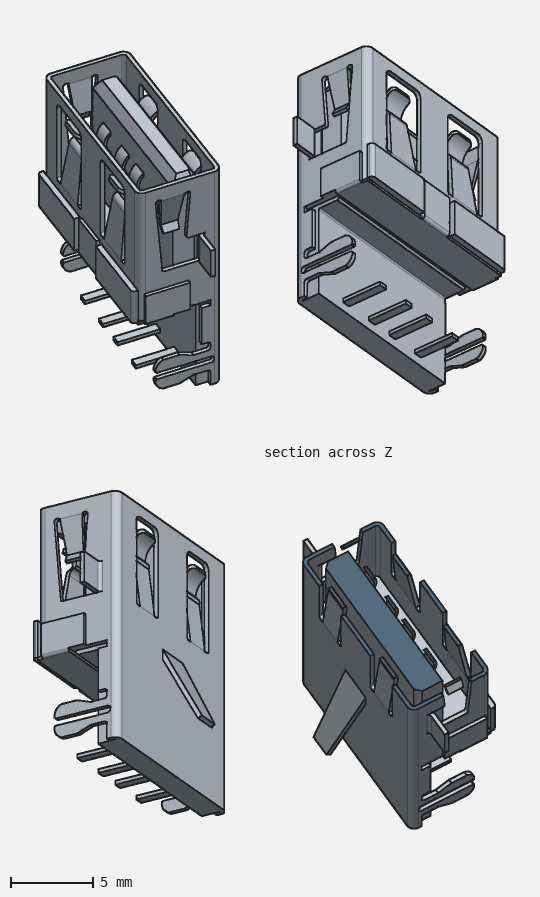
import cadquery as cq
import math


height = 16.5
half_width = 6.5
depth = 5.68
wall = 0.3
corner_radius = 0.5
floor_z = 6.6
half_inside = half_width - wall
inside_front = depth - wall

leg_depth = 1.6
floor_top_z = 7.62
sole_z = 6.3
sole_depth = 3.18
sole_fillet = 0.1
sole_chamfer = 0.15
insulator_gap = 0.07
tongue_half_width = 5.53
tongue_back = 1.0
tongue_front = 2.84
tongue_shoulder_z = 15.26
tongue_top_z = 16.0
tongue_bevel = 0.45
tongue_corner = 0.38

window_x = 2.99
front_window_width = 3.32
back_window_width = 2.54
window_bottom = 9.74
window_top = 15.7
window_top_radius = 0.41
window_bottom_radius = 0.16
front_spring_base_width = 2.36
spring_tip_width = 1.72
spring_thickness = 0.26
spring_knee_depth = 0.41
spring_knee_z = 12.97
spring_knee_bulge = 0.07
spring_crest_z = 13.38
spring_crest_inset = 0.12
spring_apex_z = 13.53
lip_radius = 1.22
lip_end_offset = 0.36
lip_corner = 0.33
front_spring_reach = 1.15
back_spring_reach = 0.92

side_window_bottom = 9.95
side_window_top = 15.51
slot_top = 15.58
slot_width = 0.4
side_window_lean = 0.46
side_window_corner = 0.13
side_spring_back = 2.52
side_spring_front = 4.1
side_spring_taper = 0.26
side_spring_apex_z = 13.2
side_spring_end_z = 12.6
side_spring_reach = 0.7
side_spring_thickness = 0.2
tab_reach = 8.25
tab_start = 1.1
tab_top = 11.98
tab_bend_radius = 0.2

flap_top = 9.08
flap_thickness = 0.4
flap_inner_x = 1.48
flap_corner = 0.25
middle_flap_half_width = 1.2
middle_flap_thickness = 0.23
middle_flap_top = 9.2
side_flap_thickness = 0.25
side_flap_back = 2.25
side_flap_front = 5.26
side_flap_top = 8.66
rail_bottom = 6.4
rail_back = 3.35
rail_bend_radius = 0.18

leg_root_depth = 0.76
leg_tip = 4.49
leg_mid_z = 1.96
leg_gap = 0.48
leg_neck = 0.53
leg_belly = 0.87
neck_end = 1.91
belly_start = 2.87
belly_end = 3.96
leg_shoulder_depth = 4.35
leg_shoulder_rise = 0.6
leg_tip_height = 0.25
leg_tip_chamfer = 0.08
slit_z = 6.19
upright_depth = 1.37
upright_bottom = 3.37
relief_radius = 0.2
relief_inset = relief_radius * (1 - math.sqrt(0.5))
leg_slot_depth = 0.51

contact_positions = (-3.5, -0.99, 0.99, 3.5)
contact_width = 1.04
contact_bottom = 11.76
contact_top = 13.63
contact_bulge = 0.48
contact_thickness = 0.18
pin_width = 0.6
pin_bottom = 0.65
pin_thickness = 0.26
pin_tip = 4.49

arm_top_z = 7.9
arm_wall_height = 0.68
arm_reach = 2.54
arm_drop = 5.0
arm_thickness = 0.3
arm_root_half_width = 1.19
arm_tip_half_width = 0.76


def box(x0, x1, back, front, z0, z1):
    """Box between two X values, two depths behind the back face, and two heights."""
    return cq.Workplane("XY").box(x1 - x0, front - back, z1 - z0, centered=False).translate((x0, -front, z0))


def side_plate(outline, x0, x1):
    """Extrude an outline drawn in the YZ plane from x0 to x1."""
    return outline.extrude(x1 - x0).translate((x0, 0, 0))


def both_sides(body):
    """Join a body with its mirror image across the YZ plane."""
    return body.union(body.mirror("YZ"))


def shell_tube():
    """Rounded tube of the shell, cut back below the floor."""
    outer = box(-half_width, half_width, 0, depth, 0, height).edges("|Z").fillet(corner_radius)
    inner = box(-half_inside, half_inside, wall, inside_front, 0, height)
    tube = outer.cut(inner.edges("|Z").fillet(corner_radius - wall))
    tube = tube.cut(box(-half_width, half_width, leg_root_depth, depth, 0, floor_z))
    gap = box(middle_flap_half_width, flap_inner_x, inside_front, depth, floor_z, floor_top_z)
    return tube.cut(both_sides(gap))


def window(x, width):
    """Opening in the back wall, centred on x."""
    cutter = box(x - width / 2, x + width / 2, 0, wall, window_bottom, window_top)
    cutter = cutter.edges("|Y and >Z").fillet(window_top_radius)
    return cutter.edges("|Y and <Z").fillet(window_bottom_radius)


def window_spring(x, reach, base_width):
    """Spring of the back wall: leans inward to an apex, then curls outward in a lip."""
    apex = reach - spring_thickness
    center = apex - lip_radius
    outer_radius = lip_radius + spring_thickness
    end_angle = math.acos(lip_end_offset / lip_radius)
    crest = apex - spring_crest_inset
    knee_middle = ((spring_knee_depth + crest) / 2 - spring_knee_bulge,
                   (spring_knee_z + spring_crest_z) / 2 + spring_knee_bulge)

    def on_lip(radius, angle):
        return (-(center + radius * math.cos(angle)), spring_apex_z + radius * math.sin(angle))

    profile = (
        cq.Workplane("YZ")
        .moveTo(0, window_bottom)
        .lineTo(-spring_knee_depth, spring_knee_z)
        .threePointArc((-knee_middle[0], knee_middle[1]), (-crest, spring_crest_z))
        .lineTo(-apex, spring_apex_z)
        .threePointArc(on_lip(lip_radius, end_angle / 2), on_lip(lip_radius, end_angle))
        .lineTo(*on_lip(outer_radius, end_angle))
        .threePointArc(on_lip(outer_radius, end_angle / 2), on_lip(outer_radius, 0))
        .lineTo(-(crest + spring_thickness), spring_crest_z)
        .threePointArc((-(knee_middle[0] + spring_thickness), knee_middle[1]),
                       (-(spring_knee_depth + spring_thickness), spring_knee_z))
        .lineTo(-wall, window_bottom)
        .close()
    )
    band = side_plate(profile, -base_width / 2, base_width / 2)
    half_base = base_width / 2
    half_tip = spring_tip_width / 2
    taper = (
        cq.Workplane("XZ")
        .polyline([
            (-half_base, window_bottom), (half_base, window_bottom), (half_tip, spring_knee_z),
            (half_tip, height), (-half_tip, height), (-half_tip, spring_knee_z),
        ])
        .close()
        .extrude(depth, both=True)
    )
    spring = band.intersect(taper)
    across_lip = cq.Vector(0, -math.cos(end_angle), math.sin(end_angle))
    spring = spring.edges(cq.selectors.ParallelDirSelector(across_lip)).fillet(lip_corner)
    return spring.translate((x, 0, 0))


def to_front(body):
    """Mirror a body of the back wall onto the front wall."""
    return body.mirror("XZ").translate((0, -depth, 0))


def side_window():
    """Opening in one side wall: spring slots above, tab blank below."""
    radius = slot_width / 2
    back = side_spring_back - slot_width
    front = side_spring_front + slot_width
    outline = (
        cq.Workplane("YZ")
        .moveTo(-tab_start, side_window_bottom)
        .lineTo(-tab_start, tab_top)
        .lineTo(-(back + side_spring_taper), tab_top)
        .lineTo(-back, slot_top - radius)
        .threePointArc((-(back + radius), slot_top), (-side_spring_back, slot_top - radius))
        .lineTo(-side_spring_back, side_window_top)
        .lineTo(-side_spring_front, side_window_top)
        .lineTo(-side_spring_front, slot_top - radius)
        .threePointArc((-(front - radius), slot_top), (-front, slot_top - radius))
        .lineTo(-(front - side_window_lean), side_window_bottom)
        .close()
    )
    opening = side_plate(outline, -half_width, -half_inside)
    middle_x = -(half_width + half_inside) / 2
    rounded_corners = (
        (middle_x, -(front - side_window_lean), side_window_bottom),
        (middle_x, -(back + side_spring_taper), tab_top),
    )
    for corner in rounded_corners:
        opening = opening.edges(cq.selectors.NearestToPointSelector(corner)).fillet(side_window_corner)
    return opening


def side_spring():
    """Left side spring: hangs from the window top, leans inward, ends in a short outward lip."""
    outer = -half_width
    inner = -half_inside
    apex = outer + side_spring_reach
    lip = apex - (side_spring_apex_z - side_spring_end_z) / 2
    profile = (
        cq.Workplane("XZ")
        .polyline([
            (outer, side_window_top), (inner, side_window_top), (apex, side_spring_apex_z),
            (lip, side_spring_end_z),
            (lip - side_spring_thickness, side_spring_end_z + side_spring_thickness / 2),
            (apex - side_spring_thickness, side_spring_apex_z),
        ])
        .close()
        .extrude(depth)
    )
    taper = (
        cq.Workplane("YZ")
        .polyline([
            (-side_spring_back, side_window_top), (-side_spring_front, side_window_top),
            (-side_spring_front + side_spring_taper, side_spring_end_z),
            (-side_spring_back - side_spring_taper, side_spring_end_z),
        ])
        .close()
        .extrude(half_width, both=True)
    )
    return profile.intersect(taper)


def mounting_tab():
    """Left tab bent a quarter turn outward from the side wall."""
    bend_x = half_width + tab_bend_radius
    outer_radius = tab_bend_radius + wall
    diagonal = math.sqrt(0.5)
    outline = (
        cq.Workplane("XY")
        .moveTo(-half_inside, -tab_start)
        .threePointArc((-bend_x + outer_radius * diagonal, -tab_start - outer_radius * diagonal),
                       (-bend_x, -tab_start - outer_radius))
        .lineTo(-tab_reach, -tab_start - outer_radius)
        .lineTo(-tab_reach, -tab_start - tab_bend_radius)
        .lineTo(-bend_x, -tab_start - tab_bend_radius)
        .threePointArc((-bend_x + tab_bend_radius * diagonal, -tab_start - tab_bend_radius * diagonal),
                       (-half_width, -tab_start))
        .close()
    )
    return outline.extrude(tab_top - side_window_bottom).translate((0, 0, side_window_bottom))


def folded_flaps():
    """Front and side flaps standing on a rail that runs under the floor."""
    front = depth + flap_thickness
    wing = box(-half_width, -flap_inner_x, depth, front, floor_z, flap_top)
    wing = wing.edges("|Z and <X and <Y").fillet(flap_corner)
    side_x = half_width + side_flap_thickness
    side = box(-side_x, -half_width, side_flap_back, side_flap_front, floor_z, side_flap_top)
    middle_front = depth + middle_flap_thickness
    middle = box(-middle_flap_half_width, middle_flap_half_width, inside_front, middle_front,
                 rail_bottom, middle_flap_top)
    middle = middle.edges("|X and <Z and <Y").fillet(middle_flap_thickness)
    rail = box(-side_x, side_x, rail_back, side_flap_front, rail_bottom, floor_z)
    rail = rail.edges("|Y and <Z").fillet(rail_bend_radius)
    rail_nose = box(-half_width, half_width, rail_back, depth, rail_bottom, floor_z)
    return both_sides(wing.union(side)).union(middle).union(rail).union(rail_nose)


def solder_leg(sign):
    """One left leg; sign is +1 for the upper leg and -1 for the lower one."""
    inner_z = leg_mid_z + sign * leg_gap / 2
    neck_z = inner_z + sign * leg_neck
    belly_z = inner_z + sign * leg_belly
    shoulder_z = inner_z + sign * leg_shoulder_rise
    outline = (
        cq.Workplane("YZ")
        .moveTo(-corner_radius, inner_z)
        .lineTo(-leg_tip + leg_tip_chamfer, inner_z)
        .lineTo(-leg_tip, inner_z + sign * leg_tip_chamfer)
        .lineTo(-leg_tip, inner_z + sign * leg_tip_height)
        .threePointArc((-leg_shoulder_depth, shoulder_z), (-belly_end, belly_z))
        .lineTo(-belly_start, belly_z)
        .lineTo(-neck_end, neck_z)
        .lineTo(-(leg_root_depth + relief_radius), neck_z)
        .threePointArc((-(leg_root_depth + relief_inset), neck_z + sign * relief_inset),
                       (-leg_root_depth, neck_z + sign * relief_radius))
        .lineTo(-corner_radius, neck_z + sign * relief_radius)
        .close()
    )
    return side_plate(outline, -half_width, -half_inside)


def upright():
    """Left wall between the relief above the legs and the slit under the floor."""
    outline = (
        cq.Workplane("YZ")
        .moveTo(-corner_radius, slit_z)
        .lineTo(-upright_depth, slit_z)
        .lineTo(-upright_depth, upright_bottom)
        .lineTo(-(leg_root_depth + relief_radius), upright_bottom)
        .threePointArc((-(leg_root_depth + relief_inset), upright_bottom - relief_inset),
                       (-leg_root_depth, upright_bottom - relief_radius))
        .lineTo(-corner_radius, upright_bottom - relief_radius)
        .close()
    )
    return side_plate(outline, -half_width, -half_inside)


def leg_slot():
    """Round-ended slot between the two left legs."""
    radius = leg_gap / 2
    center_depth = leg_slot_depth + radius
    outline = (
        cq.Workplane("YZ")
        .moveTo(-leg_tip, leg_mid_z + radius)
        .lineTo(-center_depth, leg_mid_z + radius)
        .threePointArc((-leg_slot_depth, leg_mid_z), (-center_depth, leg_mid_z - radius))
        .lineTo(-leg_tip, leg_mid_z - radius)
        .close()
    )
    return side_plate(outline, -half_width, -half_inside)


def insulator():
    """Floor of the socket, the leg block under it and the tongue above it."""
    half = half_inside - insulator_gap
    lower = (
        cq.Workplane("YZ")
        .polyline([
            (-wall, 0), (-leg_depth, 0), (-leg_depth, sole_z), (-sole_depth, sole_z),
            (-sole_depth, floor_z), (-wall, floor_z),
        ])
        .close()
    )
    lower = side_plate(lower, -half, half)
    lower = lower.edges(cq.selectors.NearestToPointSelector((0, -leg_depth, sole_z))).fillet(sole_fillet)
    lower = lower.edges(cq.selectors.NearestToPointSelector((0, -sole_depth, sole_z))).chamfer(sole_chamfer)
    floor = box(-half_inside, half_inside, wall, inside_front, floor_z, floor_top_z)
    return floor.union(lower).union(tongue())


def tongue_slice(bottom):
    """Cross-section of the tongue, its two back corners cut off, at the given height."""
    corner_x = tongue_half_width - tongue_corner
    corner_y = -(tongue_back + tongue_corner)
    return (
        cq.Workplane("XY", origin=(0, 0, bottom))
        .polyline([
            (-tongue_half_width, -tongue_front), (tongue_half_width, -tongue_front),
            (tongue_half_width, corner_y), (corner_x, -tongue_back),
            (-corner_x, -tongue_back), (-tongue_half_width, corner_y),
        ])
        .close()
    )


def tongue():
    """Tongue with a bevelled top."""
    bevel_height = tongue_top_z - tongue_shoulder_z
    bevel_angle = math.degrees(math.atan2(tongue_bevel, bevel_height))
    trunk = tongue_slice(floor_top_z).extrude(tongue_shoulder_z - floor_top_z)
    return trunk.union(tongue_slice(tongue_shoulder_z).extrude(bevel_height, taper=bevel_angle))


def contact(x):
    """Bowed contact on the front of the tongue."""
    half_chord = (contact_top - contact_bottom) / 2
    radius = (half_chord ** 2 + contact_bulge ** 2) / (2 * contact_bulge)
    ring = (
        cq.Workplane("YZ")
        .center(-(tongue_front + contact_bulge - radius), contact_bottom + half_chord)
        .circle(radius)
        .circle(radius - contact_thickness)
    )
    bow = side_plate(ring, x - contact_width / 2, x + contact_width / 2)
    return bow.intersect(box(-half_width, half_width, tongue_front, depth, 0, height))


def pin(x):
    """Straight solder pin on the front of the insulator's leg."""
    half = pin_width / 2
    return box(x - half, x + half, leg_depth, pin_tip, pin_bottom, pin_bottom + pin_thickness)


def grounding_arm():
    """Arm slanting down and away from the back wall, narrowing to its end."""
    angle = math.atan2(arm_drop, arm_reach)
    end_y = arm_reach - arm_thickness * math.sin(angle)
    end_z = arm_top_z - arm_drop
    profile = side_plate(
        cq.Workplane("YZ").polyline([
            (-wall, arm_top_z), (0, arm_top_z), (arm_reach, end_z + arm_thickness * math.cos(angle)),
            (end_y, end_z), (0, arm_top_z - arm_wall_height), (-wall, arm_top_z - arm_wall_height),
        ]).close(),
        -arm_root_half_width, arm_root_half_width,
    )
    taper = (
        cq.Workplane("XY")
        .polyline([
            (-arm_root_half_width, -wall), (arm_root_half_width, -wall), (arm_root_half_width, 0),
            (arm_tip_half_width, arm_reach), (-arm_tip_half_width, arm_reach), (-arm_root_half_width, 0),
        ])
        .close()
        .extrude(height)
    )
    return profile.intersect(taper)


shell = shell_tube()
for x in (-window_x, window_x):
    shell = shell.cut(window(x, back_window_width)).cut(to_front(window(x, front_window_width)))
    shell = shell.union(window_spring(x, back_spring_reach, spring_tip_width))
    shell = shell.union(to_front(window_spring(x, front_spring_reach, front_spring_base_width)))
shell = shell.cut(both_sides(side_window()))
shell = shell.union(both_sides(side_spring())).union(both_sides(mounting_tab()))
legs = upright().union(solder_leg(1)).union(solder_leg(-1))
shell = shell.union(both_sides(legs)).cut(both_sides(leg_slot()))
shell = shell.union(folded_flaps()).union(grounding_arm())

core = insulator()
for x in contact_positions:
    core = core.union(contact(x)).union(pin(x))

result = shell.union(core)